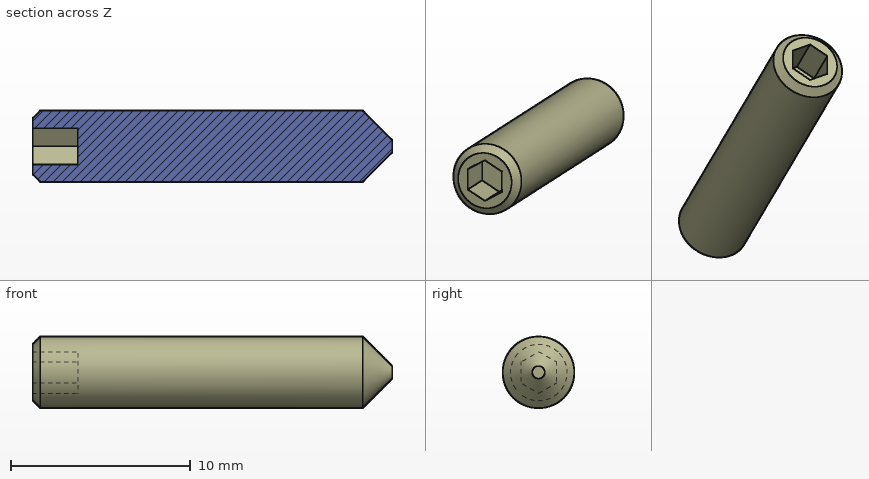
import cadquery as cq

length = 20.0
radius = 2.0
chamfer = 0.43
tip_radius = 0.35
cone_length = radius - tip_radius

hex_across_flats = 2.0
hex_across_corners = hex_across_flats / 0.75 ** 0.5
socket_depth = 2.5


def screw_body():
    """Revolve the half profile about the X axis."""
    return (
        cq.Workplane("XZ")
        .moveTo(0, 0)
        .lineTo(0, radius - chamfer)
        .lineTo(chamfer, radius)
        .lineTo(length - cone_length, radius)
        .lineTo(length, tip_radius)
        .lineTo(length, 0)
        .close()
        .revolve(360, (0, 0, 0), (1, 0, 0))
    )


def hex_socket():
    """Hexagonal prism from the X = 0 face, with corners at +Z and -Z."""
    return (
        cq.Workplane("YZ")
        .transformed(rotate=(0, 0, 90))
        .polygon(6, hex_across_corners)
        .extrude(socket_depth)
    )


result = screw_body().cut(hex_socket())